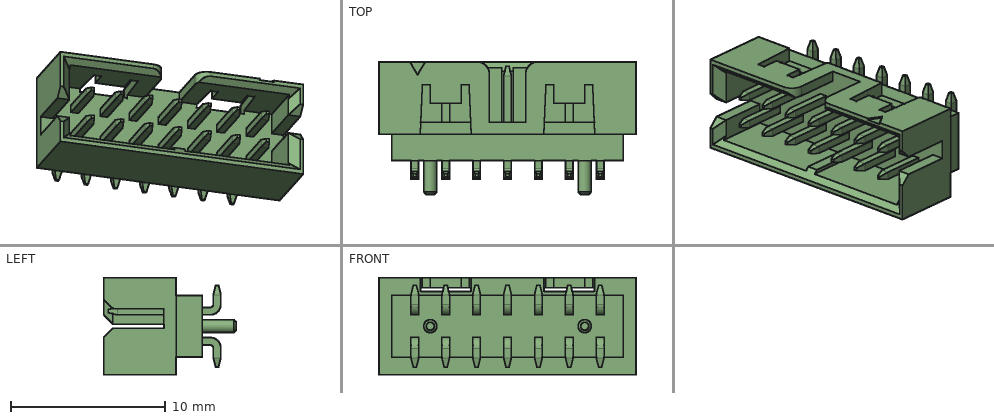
import cadquery as cq
import math


shroud_width = 16.65
shroud_height = 6.3
shroud_length = 4.7
base_width = 15.0
base_height = 4.0
base_length = 1.7
shroud_rear = base_length
mouth = shroud_rear + shroud_length
top_face = shroud_height / 2

floor_thickness = 0.8
cavity_floor = shroud_rear + floor_thickness
side_wall = 0.825
top_wall = 0.675
cavity_width = shroud_width - 2 * side_wall
cavity_height = shroud_height - 2 * top_wall
lead_in_depth = 0.6
lead_in_angle = 45
mouth_lip_x = side_wall - lead_in_depth
mouth_lip_z = 0.3
rib_width = 0.75
rib_height = 0.225

notch_width = 2.35
notch_corner_radius = 0.8

slot_height = 1.25
slot_offset = 0.5
slot_flare = 0.6

window_spacing = 8.0
window_rear_width = 3.3
window_front_width = 3.03
window_front = mouth - 1.5
window_depth = 0.9
tab_width = 2.0
tab_end = mouth - 2.7

mark_inset = 2.5
mark_x = mark_inset - shroud_width / 2
mark_width = 1.0
mark_length = 0.85
mark_depth = 0.1

pin_count = 7
pitch = 2.0
row_offset = 0.975
pin_size = 0.5
pin_tip_size = 0.2
pin_end_taper = 0.6
pin_tip_setback = 0.3
pin_inner_radius = 0.2
pin_outer_radius = pin_inner_radius + pin_size
lead_reach = 1.2
lead_end = 2.65

post_spacing = 10.0
post_diameter = 0.85
post_length = 2.2
post_chamfer = 0.17


def block(width, height, rear, front):
    """Box centred on the Y axis between two Y stations."""
    return cq.Workplane("XY").box(width, front - rear, height).translate((0, (rear + front) / 2, 0))


def cut_cavity(body):
    """Open the mating cavity, keep a central rib on its lower wall and flare its mouth."""
    cavity = block(cavity_width, cavity_height, cavity_floor, mouth)
    rib = block(rib_width, rib_height, cavity_floor, mouth)
    rib = rib.translate((0, 0, (rib_height - cavity_height) / 2))
    lead_in = (
        cq.Workplane("XZ", origin=(0, mouth, 0))
        .rect(shroud_width - 2 * mouth_lip_x, shroud_height - 2 * mouth_lip_z)
        .extrude(lead_in_depth, taper=lead_in_angle)
    )
    return body.cut(cavity.cut(rib)).cut(lead_in)


def cut_notch(body):
    """Cut the notch through the top wall, with rounded outer corners at the mouth."""
    half = notch_width / 2
    radius = notch_corner_radius
    notch = (
        cq.Workplane("XY")
        .moveTo(-half, cavity_floor)
        .lineTo(half, cavity_floor)
        .lineTo(half, mouth - radius)
        .radiusArc((half + radius, mouth), radius)
        .lineTo(-half - radius, mouth)
        .radiusArc((-half, mouth - radius), radius)
        .close()
        .extrude(top_face)
    )
    return body.cut(notch)


def cut_end_slot(body, side):
    """Cut one flared end-wall slot; side is -1 for -X (raised) or +1 for +X (lowered)."""
    half = slot_height / 2
    slot = (
        cq.Workplane("YZ")
        .polyline([
            (cavity_floor, -half),
            (mouth - slot_flare, -half),
            (mouth, -half - slot_flare),
            (mouth, half + slot_flare),
            (mouth - slot_flare, half),
            (cavity_floor, half),
        ])
        .close()
        .extrude(side * shroud_width / 2)
    )
    return body.cut(slot.translate((0, 0, -side * slot_offset)))


def cut_latch_window(body, center_x):
    """Cut a tapered window around a latch tab that hangs from the mouth side."""
    window_bottom = top_face - window_depth
    window = (
        cq.Workplane("XY", origin=(center_x, 0, window_bottom))
        .polyline([
            (-window_rear_width / 2, shroud_rear),
            (window_rear_width / 2, shroud_rear),
            (window_front_width / 2, window_front),
            (-window_front_width / 2, window_front),
        ])
        .close()
        .extrude(window_depth)
    )
    tab = block(tab_width, shroud_height, tab_end, mouth).translate((center_x, 0, 0))
    return body.cut(window.cut(tab))


def cut_pin_one_mark(body):
    """Recess a triangle into the top face at the mouth edge."""
    mark = (
        cq.Workplane("XY", origin=(mark_x, mouth, top_face - mark_depth))
        .polyline([(-mark_width / 2, 0), (mark_width / 2, 0), (0, -mark_length)])
        .close()
        .extrude(mark_depth)
    )
    return body.cut(mark)


def make_pin():
    """Upper-row pin at X = 0: straight contact, rear bend upward, both ends tapered."""
    lower = row_offset - pin_size / 2
    upper = row_offset + pin_size / 2
    contact_shoulder = mouth - pin_tip_setback - pin_end_taper
    lead_shoulder = lead_end - pin_end_taper
    lead_front = pin_size - lead_reach
    shank = (
        cq.Workplane("YZ", origin=(-pin_size / 2, 0, 0))
        .moveTo(contact_shoulder, lower)
        .lineTo(pin_outer_radius - lead_reach, lower)
        .radiusArc((-lead_reach, lower + pin_outer_radius), pin_outer_radius)
        .lineTo(-lead_reach, lead_shoulder)
        .lineTo(lead_front, lead_shoulder)
        .lineTo(lead_front, upper + pin_inner_radius)
        .radiusArc((lead_front + pin_inner_radius, upper), -pin_inner_radius)
        .lineTo(contact_shoulder, upper)
        .close()
        .extrude(pin_size)
    )
    taper = math.degrees(math.atan((pin_size - pin_tip_size) / 2 / pin_end_taper))
    end = cq.Workplane("XY").rect(pin_size, pin_size).extrude(pin_end_taper, taper=taper)
    lead_tip = end.translate((0, lead_front - pin_size / 2, lead_shoulder))
    contact_tip = end.rotate((0, 0, 0), (1, 0, 0), -90).translate((0, contact_shoulder, row_offset))
    return shank.union(lead_tip).union(contact_tip)


def make_post(center_x):
    """Round locating post behind the base, with a chamfered end."""
    return (
        cq.Workplane("XZ", origin=(center_x, 0, 0))
        .circle(post_diameter / 2)
        .extrude(post_length)
        .faces("<Y")
        .chamfer(post_chamfer)
    )


housing = block(shroud_width, shroud_height, shroud_rear, mouth)
housing = housing.union(block(base_width, base_height, 0, shroud_rear))
housing = cut_cavity(housing)
housing = cut_notch(housing)
housing = cut_pin_one_mark(housing)
for side in (-1, 1):
    housing = cut_end_slot(housing, side)
    housing = cut_latch_window(housing, side * window_spacing / 2)

result = housing
for side in (-1, 1):
    result = result.union(make_post(side * post_spacing / 2))

upper_pin = make_pin()
lower_pin = upper_pin.mirror("XY")
for index in range(pin_count):
    pin_x = (index - (pin_count - 1) / 2) * pitch
    result = result.union(upper_pin.translate((pin_x, 0, 0)))
    result = result.union(lower_pin.translate((pin_x, 0, 0)))